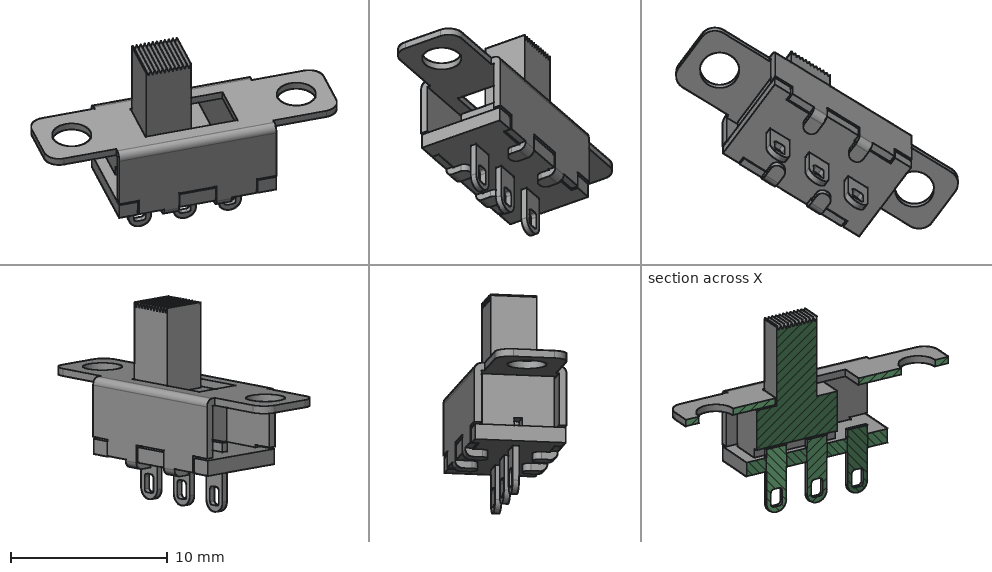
import cadquery as cq


frame_length = 19.5
frame_width = 6.0
sheet = 0.49
wall_length = 10.5
wall_end_depth = 3.86
wall_skirt_depth = 4.93
skirt_half_length = 3.92
centre_notch_length = 2.52
flange_width = 4.65
flange_corner_radius = 1.0
mounting_hole_diameter = 2.5
mounting_hole_pitch = 15.0
slot_width = 3.22
slot_length = 6.15
clinch_tab_width = 1.0
clinch_tab_reach = 1.55
clinch_tab_corner_radius = 0.45

base_top = -4.0
base_thickness = 1.0
base_bottom = base_top - base_thickness
base_core_width = 4.91
base_ear_width = 5.89
base_ear_start = 4.02
base_centre_ear_length = 2.4

lever_size = 3.0
lever_height = 5.0
slider_y = -lever_size / 2
carriage_width = 4.7
carriage_length = 2 * lever_size
carriage_top = -0.55
carriage_bottom = -3.94
groove_width = 0.53
groove_top = -3.33
full_serration_count = 11
first_serration_inset = 0.14
last_serration_inset = 0.18
serration_pitch = (lever_size - first_serration_inset - last_serration_inset) / (full_serration_count - 1)
serration_width = 0.25
serration_depth = 0.31

terminal_pitch = 3.0
terminal_count = 3
terminal_width = 1.5
terminal_thickness = 0.4
terminal_top = -3.41
terminal_bottom = -7.98
eye_width = 0.8
eye_height = 1.2
eye_corner_radius = 0.21
eye_z = -6.95


def block(width, length, bottom, top, x=0, y=0):
    """Box centred on (x, y) that spans bottom to top in Z."""
    return cq.Workplane("XY").box(width, length, top - bottom).translate((x, y, (bottom + top) / 2))


def clinch_tab(side_x, y):
    """Tab bent inward under the base from the wall on the given X side."""
    wall_x = side_x * frame_width / 2
    foot_x = wall_x - side_x * clinch_tab_reach / 2
    upright_x = wall_x - side_x * sheet / 2
    outer, inner = ("<X", ">X") if side_x < 0 else (">X", "<X")

    foot = block(clinch_tab_reach, clinch_tab_width, base_bottom - sheet, base_bottom, foot_x, y)
    foot = foot.faces(inner).edges("|Z").fillet(clinch_tab_corner_radius)
    upright = block(sheet, clinch_tab_width, base_bottom - sheet, -wall_end_depth, upright_x, y)
    return foot.union(upright).faces(outer).edges("<Z").fillet(sheet)


def make_frame():
    frame = block(frame_width, wall_length, -wall_skirt_depth, 0)
    frame = frame.faces(">Z").edges("|Y").fillet(sheet)
    inner_width = frame_width - 2 * sheet
    frame = frame.cut(block(inner_width, wall_length, -wall_skirt_depth, -sheet))

    notch_length = wall_length / 2 - skirt_half_length
    for side_y in (-1, 1):
        notch_y = side_y * (skirt_half_length + notch_length / 2)
        frame = frame.cut(block(frame_width, notch_length, -wall_skirt_depth, -wall_end_depth, y=notch_y))
    frame = frame.cut(block(frame_width, centre_notch_length, -wall_skirt_depth, -wall_end_depth))

    flange = block(flange_width, frame_length, -sheet, 0).edges("|Z").fillet(flange_corner_radius)
    frame = frame.union(flange)
    for side_y in (-1, 1):
        hole = cq.Workplane("XY").circle(mounting_hole_diameter / 2).extrude(-sheet)
        frame = frame.cut(hole.translate((0, side_y * mounting_hole_pitch / 2, 0)))
    frame = frame.cut(block(slot_width, slot_length, -sheet, 0))

    tab_y = (centre_notch_length + clinch_tab_width) / 2
    for side_x in (-1, 1):
        for side_y in (-1, 1):
            frame = frame.union(clinch_tab(side_x, side_y * tab_y))
    return frame


def terminal_positions():
    return [(i - (terminal_count - 1) / 2) * terminal_pitch for i in range(terminal_count)]


def make_base():
    base = block(base_core_width, wall_length, base_bottom, base_top)
    ear_length = wall_length / 2 - base_ear_start
    for side_y in (-1, 1):
        ear_y = side_y * (base_ear_start + ear_length / 2)
        base = base.union(block(base_ear_width, ear_length, base_bottom, base_top, y=ear_y))
    base = base.union(block(base_ear_width, base_centre_ear_length, base_bottom, base_top))
    for y in terminal_positions():
        base = base.cut(block(terminal_thickness, terminal_width, base_bottom, base_top, y=y))
    return base


def make_slider():
    carriage = block(carriage_width, carriage_length, carriage_bottom, carriage_top, y=slider_y)
    groove = block(groove_width, carriage_length, carriage_bottom, groove_top, y=slider_y)
    lever = block(lever_size, lever_size, carriage_top, lever_height, y=slider_y)
    slider = carriage.cut(groove).union(lever)

    first_y = slider_y + lever_size / 2 - first_serration_inset
    for i in range(full_serration_count + 1):
        y = first_y - i * serration_pitch
        vee = (
            cq.Workplane("YZ")
            .moveTo(y, lever_height - serration_depth)
            .lineTo(y + serration_width / 2, lever_height)
            .lineTo(y - serration_width / 2, lever_height)
            .close()
            .extrude(lever_size / 2, both=True)
        )
        slider = slider.cut(vee)
    return slider


def make_terminal(y):
    radius = terminal_width / 2
    arc_z = terminal_bottom + radius
    blade = (
        cq.Workplane("YZ")
        .moveTo(-radius, terminal_top)
        .lineTo(-radius, arc_z)
        .threePointArc((0, terminal_bottom), (radius, arc_z))
        .lineTo(radius, terminal_top)
        .close()
        .extrude(terminal_thickness / 2, both=True)
    )
    eye = (
        block(terminal_thickness, eye_width, eye_z - eye_height / 2, eye_z + eye_height / 2)
        .edges("|X")
        .fillet(eye_corner_radius)
    )
    return blade.cut(eye).translate((0, y, 0))


frame = make_frame()
base = make_base()
slider = make_slider()
terminals = [make_terminal(y) for y in terminal_positions()]

result = cq.Compound.makeCompound(
    [frame.val(), base.val(), slider.val()] + [terminal.val() for terminal in terminals]
)